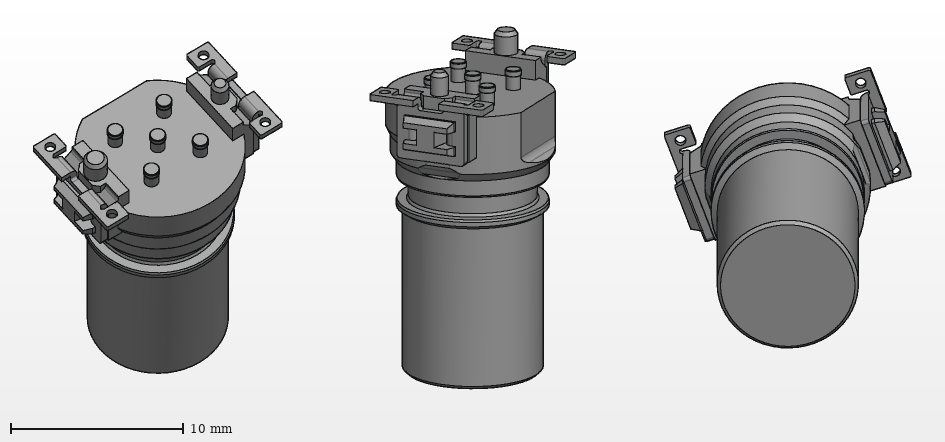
import cadquery as cq
import math

BARREL_RADIUS = 4.1
COLLAR_RADIUS = 4.45
GROOVE_RADIUS = 3.75
HEAD_RADIUS = 4.8
BARREL_CHAMFER = 0.2
BARREL_TOP_Z = 9.78
FLANGE_CONE_TOP_Z = 10.01
FLANGE_TOP_Z = 10.41
FLANGE_CHAMFER = (0.06, 0.14)
GROOVE_FLARE = (0.1, 0.18)
COLLAR_BOTTOM_Z = 11.78
COLLAR_CHAMFER = (0.05, 0.11)
COLLAR_TOP_Z = 12.8
HEAD_CONE_TOP_Z = 13.3
HEAD_TOP_Z = 16.78

WIDE_RADIUS = 5.08
WIDE_CONE_BOTTOM_Z = 14.37
WIDE_CONE_TOP_Z = 14.94

FLAT_X = -4.2
FLAT_BOTTOM_Z = 14.05
FLAT_RUNOUT_MIDDLE = (-4.28, 13.8)
FLAT_RUNOUT_END = (-4.46, 13.62)
FLAT_SLOPE_END_Z = 13.38

SEAT_Y = 4.55
SEAT_BOTTOM_Z = 13.87
SCALLOP_PROFILE = [(4.74, 13.61), (4.64, 13.37), (4.41, 12.95), (4.45, COLLAR_TOP_Z)]

CONTACT_SPACING = 1.765
CONTACT_RADIUS = 0.43
CONTACT_HEAD_RADIUS = 0.47
CONTACT_HEAD_HEIGHT = 0.36
CONTACT_CHAMFER = 0.06

MOUNT_TOP_Z = 17.97
BLOCK_HALF_WIDTH = 2.25
BLOCK_INNER_Y = 3.74
BLOCK_OUTER_Y = 5.24
BLOCK_BOTTOM_Z = 14.31
SHOULDER_Y = 4.51
SHOULDER_STEP = 0.3
SHOULDER_END_Z = 17.15
SHOULDER_FILLET = 0.25
NOSE_HALF_WIDTH = 1.02
NOSE_TIP_HALF_WIDTH = 0.66
NOSE_CHAMFER_Y = 4.9

PEG_Y = 4.5
PEG_TOP_Z = 19.35
PEG_CHAMFER = (0.18, 0.25)
FRONT_PEG_RADIUS = 0.69
BACK_PEG_RADIUS = 0.52

CLIP_OUTER_Y = 5.71
CLIP_HALF_WIDTH = 2.15
CLIP_BOTTOM_Z = 14.16
CLIP_CORNER_RADIUS = 0.2
WING_THICKNESS = 0.38
WING_HALF_SPAN = 3.63
WING_INNER_Y = 4.75
WING_OUTER_Y = 6.34
WING_CORNER_RADIUS = 0.1
WING_SLOT_HALF_SPAN = 2.46
WING_SLOT_END_Y = 5.83
BEND_RADIUS = 0.44
NOTCH_HALF_WIDTH = 0.81
NOTCH_BOTTOM_Z = 17.2
NOTCH_CORNER_RADIUS = 0.18
EYELET_X = 3.0
EYELET_Y = 5.54
EYELET_RADIUS = 0.31

BOSS_HALF_WIDTH = 1.61
BOSS_TIP_HALF_WIDTH = 1.4
BOSS_BOTTOM_Z = 14.76
BOSS_TOP_Z = 16.83
BOSS_TIP_BOTTOM_Z = 14.97
BOSS_TIP_TOP_Z = 16.58
BOSS_TAPER_START_Y = 5.9
BOSS_TIP_Y = 6.45
WEB_HALF_WIDTH = 0.56
WEB_ROOT_HALF_WIDTH = 0.79
WINDOW_BOTTOM_Z = 15.32
WINDOW_TOP_Z = 16.25
WINDOW_LIP_X = 1.39
WINDOW_THROAT_X = 0.85

CLEARANCE = 2.0


def box(x_range, y_range, z_range):
    """Box spanning the given ranges."""
    lows, highs = zip(x_range, y_range, z_range)
    size = [high - low for low, high in zip(lows, highs)]
    return cq.Workplane("XY").box(*size, centered=False).translate(lows)


def mirrored_pair(shape):
    """The shape together with its mirror image across X = 0."""
    return shape.union(shape.mirror("YZ"))


def turned(profile):
    """Solid of revolution about Z from (radius, z) points; the axis closes it."""
    points = [(0, profile[0][1])] + profile + [(0, profile[-1][1])]
    return cq.Workplane("XZ").polyline(points).close().revolve(360, (0, 0), (0, 1))


def turned_body():
    """Barrel, flange, groove, collar and the narrow radius of the head."""
    flare_radius = GROOVE_RADIUS + GROOVE_FLARE[0]
    return turned([
        (BARREL_RADIUS - BARREL_CHAMFER, 0),
        (BARREL_RADIUS, BARREL_CHAMFER),
        (BARREL_RADIUS, BARREL_TOP_Z),
        (COLLAR_RADIUS, FLANGE_CONE_TOP_Z),
        (COLLAR_RADIUS, FLANGE_TOP_Z - FLANGE_CHAMFER[1]),
        (COLLAR_RADIUS - FLANGE_CHAMFER[0], FLANGE_TOP_Z),
        (flare_radius, FLANGE_TOP_Z),
        (GROOVE_RADIUS, FLANGE_TOP_Z + GROOVE_FLARE[1]),
        (GROOVE_RADIUS, COLLAR_BOTTOM_Z - GROOVE_FLARE[1]),
        (flare_radius, COLLAR_BOTTOM_Z),
        (COLLAR_RADIUS - COLLAR_CHAMFER[0], COLLAR_BOTTOM_Z),
        (COLLAR_RADIUS, COLLAR_BOTTOM_Z + COLLAR_CHAMFER[1]),
        (COLLAR_RADIUS, COLLAR_TOP_Z),
        (HEAD_RADIUS, HEAD_CONE_TOP_Z),
        (HEAD_RADIUS, HEAD_TOP_Z),
    ])


def wide_half():
    """Half disc of the larger head radius on the +X side, coned underneath."""
    disc = turned([
        (HEAD_RADIUS, WIDE_CONE_BOTTOM_Z),
        (WIDE_RADIUS, WIDE_CONE_TOP_Z),
        (WIDE_RADIUS, HEAD_TOP_Z),
    ])
    reach = WIDE_RADIUS + CLEARANCE
    return disc.intersect(box((0, reach), (-reach, reach), (0, HEAD_TOP_Z)))


def keying_flat_cut():
    """Flat on the -X side that curves and then slopes out to the head's lower edge."""
    reach = WIDE_RADIUS + CLEARANCE
    return (
        cq.Workplane("XZ")
        .moveTo(FLAT_X, HEAD_TOP_Z + CLEARANCE)
        .lineTo(FLAT_X, FLAT_BOTTOM_Z)
        .threePointArc(FLAT_RUNOUT_MIDDLE, FLAT_RUNOUT_END)
        .lineTo(-HEAD_RADIUS, FLAT_SLOPE_END_Z)
        .lineTo(-reach, FLAT_SLOPE_END_Z)
        .lineTo(-reach, HEAD_TOP_Z + CLEARANCE)
        .close()
        .extrude(reach, both=True)
    )


def seat_cut():
    """Flat seat behind a mount, with a shallow scallop below it."""
    reach = WIDE_RADIUS + CLEARANCE
    scallop_y = SCALLOP_PROFILE[0][0]
    outline = [
        (SEAT_Y, HEAD_TOP_Z + CLEARANCE),
        (SEAT_Y, SEAT_BOTTOM_Z),
        (scallop_y, SEAT_BOTTOM_Z),
        *SCALLOP_PROFILE,
        (reach, COLLAR_TOP_Z),
        (reach, HEAD_TOP_Z + CLEARANCE),
    ]
    return cq.Workplane("YZ").polyline(outline).close().extrude(reach, both=True)


def contact_pin(x, y):
    """Contact pin with a chamfered head."""
    height = MOUNT_TOP_Z - HEAD_TOP_Z
    shank = cq.Workplane("XY").circle(CONTACT_RADIUS).extrude(height)
    head = (
        cq.Workplane("XY", origin=(0, 0, height - CONTACT_HEAD_HEIGHT))
        .circle(CONTACT_HEAD_RADIUS)
        .extrude(CONTACT_HEAD_HEIGHT)
        .faces(">Z").chamfer(CONTACT_CHAMFER)
    )
    return shank.union(head).translate((x, y, HEAD_TOP_Z))


def mount_block():
    """Block with a sloped shoulder either side of a nose whose outer corners are cut off."""
    ledge_z = MOUNT_TOP_Z - SHOULDER_STEP
    sides = [
        (BLOCK_INNER_Y, BLOCK_BOTTOM_Z),
        (BLOCK_OUTER_Y, BLOCK_BOTTOM_Z),
        (BLOCK_OUTER_Y, SHOULDER_END_Z),
        (SHOULDER_Y, ledge_z),
        (SHOULDER_Y, MOUNT_TOP_Z),
        (BLOCK_INNER_Y, MOUNT_TOP_Z),
    ]
    block = cq.Workplane("YZ").polyline(sides).close().extrude(BLOCK_HALF_WIDTH, both=True)
    ledge = cq.NearestToPointSelector((0, SHOULDER_Y, ledge_z))
    block = block.edges(ledge).fillet(SHOULDER_FILLET)
    nose_outline = [
        (-NOSE_HALF_WIDTH, BLOCK_INNER_Y),
        (-NOSE_HALF_WIDTH, NOSE_CHAMFER_Y),
        (-NOSE_TIP_HALF_WIDTH, BLOCK_OUTER_Y),
        (NOSE_TIP_HALF_WIDTH, BLOCK_OUTER_Y),
        (NOSE_HALF_WIDTH, NOSE_CHAMFER_Y),
        (NOSE_HALF_WIDTH, BLOCK_INNER_Y),
    ]
    nose = (
        cq.Workplane("XY", origin=(0, 0, BLOCK_BOTTOM_Z))
        .polyline(nose_outline).close()
        .extrude(MOUNT_TOP_Z - BLOCK_BOTTOM_Z)
    )
    return block.union(nose)


def mount_peg(radius):
    """Locating peg on top of a block, chamfered at its end."""
    radial, axial = PEG_CHAMFER
    peg = turned([
        (radius, MOUNT_TOP_Z),
        (radius, PEG_TOP_Z - axial),
        (radius - radial, PEG_TOP_Z),
    ])
    return peg.translate((0, PEG_Y, 0))


def clip_plate():
    """Upright plate with rounded lower corners, bent outwards along its top edge."""
    plate = box(
        (-CLIP_HALF_WIDTH, CLIP_HALF_WIDTH),
        (BLOCK_OUTER_Y, CLIP_OUTER_Y),
        (CLIP_BOTTOM_Z, MOUNT_TOP_Z),
    ).edges("|Y and <Z").fillet(CLIP_CORNER_RADIUS)
    flange = box(
        (-CLIP_HALF_WIDTH, CLIP_HALF_WIDTH),
        (BLOCK_OUTER_Y, WING_OUTER_Y),
        (MOUNT_TOP_Z - WING_THICKNESS, MOUNT_TOP_Z),
    )
    return plate.union(flange).edges("|X and >Z and <Y").fillet(BEND_RADIUS)


def clip_wing():
    """Solder wing on the +X side, joined to the bent flange beyond a round-ended slot."""
    wing_z = (MOUNT_TOP_Z - WING_THICKNESS, MOUNT_TOP_Z)
    pad = (
        box((WING_SLOT_HALF_SPAN, WING_HALF_SPAN), (WING_INNER_Y, WING_OUTER_Y), wing_z)
        .edges("|Z and (>X or <Y)").fillet(WING_CORNER_RADIUS)
    )
    slot_radius = (WING_SLOT_HALF_SPAN - CLIP_HALF_WIDTH) / 2
    slot_center = (CLIP_HALF_WIDTH + slot_radius, WING_SLOT_END_Y - slot_radius)
    slot_end = (
        cq.Workplane("XY", origin=(*slot_center, wing_z[0]))
        .circle(slot_radius)
        .extrude(WING_THICKNESS)
    )
    bridge = box((CLIP_HALF_WIDTH, WING_SLOT_HALF_SPAN), (slot_center[1], WING_OUTER_Y), wing_z)
    bridge = bridge.cut(slot_end)
    eyelet = (
        cq.Workplane("XY", origin=(EYELET_X, EYELET_Y, wing_z[0]))
        .circle(EYELET_RADIUS)
        .extrude(WING_THICKNESS)
    )
    return pad.union(bridge).cut(eyelet)


def clip_notch():
    """Opening in the middle of the bent edge that clears the block's nose."""
    return box(
        (-NOTCH_HALF_WIDTH, NOTCH_HALF_WIDTH),
        (BLOCK_OUTER_Y, WING_OUTER_Y),
        (NOTCH_BOTTOM_Z, MOUNT_TOP_Z),
    ).edges("|Y and <Z").fillet(NOTCH_CORNER_RADIUS)


def boss_section(y, half_width, bottom_z, top_z):
    """Rectangle across Y that bounds the latch boss at one distance."""
    corners = [
        (-half_width, y, bottom_z),
        (half_width, y, bottom_z),
        (half_width, y, top_z),
        (-half_width, y, top_z),
    ]
    return cq.Wire.makePolygon([cq.Vector(*corner) for corner in corners], close=True)


def latch_boss():
    """Boss on the clip plate, tapered on all four sides towards its outer face."""
    base = box(
        (-BOSS_HALF_WIDTH, BOSS_HALF_WIDTH),
        (CLIP_OUTER_Y, BOSS_TAPER_START_Y),
        (BOSS_BOTTOM_Z, BOSS_TOP_Z),
    )
    taper = cq.Solid.makeLoft([
        boss_section(BOSS_TAPER_START_Y, BOSS_HALF_WIDTH, BOSS_BOTTOM_Z, BOSS_TOP_Z),
        boss_section(BOSS_TIP_Y, BOSS_TIP_HALF_WIDTH, BOSS_TIP_BOTTOM_Z, BOSS_TIP_TOP_Z),
    ], True)
    return base.union(cq.Workplane(taper))


def latch_window():
    """Side window of the boss on +X; its floor rolls over a rounded lip into the plate."""
    roll_x = WINDOW_LIP_X - WINDOW_THROAT_X
    roll_y = CLIP_OUTER_Y - BLOCK_OUTER_Y
    diagonal = math.sqrt(0.5)
    roll_middle = (
        WINDOW_LIP_X - roll_x * diagonal,
        BLOCK_OUTER_Y + roll_y * diagonal,
    )
    outside_x = BOSS_HALF_WIDTH + CLEARANCE
    return (
        cq.Workplane("XY", origin=(0, 0, WINDOW_BOTTOM_Z))
        .moveTo(WEB_HALF_WIDTH, BOSS_TIP_Y)
        .lineTo(WEB_ROOT_HALF_WIDTH, BLOCK_OUTER_Y)
        .lineTo(WINDOW_THROAT_X, BLOCK_OUTER_Y)
        .threePointArc(roll_middle, (WINDOW_LIP_X, CLIP_OUTER_Y))
        .lineTo(outside_x, CLIP_OUTER_Y)
        .lineTo(outside_x, BOSS_TIP_Y)
        .close()
        .extrude(WINDOW_TOP_Z - WINDOW_BOTTOM_Z)
    )


def mount(peg_radius):
    """Block, peg and clip of one mount on the +Y side."""
    clip = clip_plate().union(mirrored_pair(clip_wing())).cut(clip_notch())
    clip = clip.union(latch_boss()).cut(mirrored_pair(latch_window()))
    return mount_block().union(mount_peg(peg_radius)).union(clip)


def half_turn(shape):
    """The shape carried from the +Y side to the -Y side."""
    return shape.rotate((0, 0, 0), (0, 0, 1), 180)


head_and_barrel = turned_body().union(wide_half()).cut(keying_flat_cut())
head_and_barrel = head_and_barrel.cut(seat_cut()).cut(half_turn(seat_cut()))

result = head_and_barrel.union(mount(BACK_PEG_RADIUS)).union(half_turn(mount(FRONT_PEG_RADIUS)))

result = result.union(contact_pin(0, 0))
for x_side in (-1, 1):
    for y_side in (-1, 1):
        result = result.union(contact_pin(x_side * CONTACT_SPACING, y_side * CONTACT_SPACING))